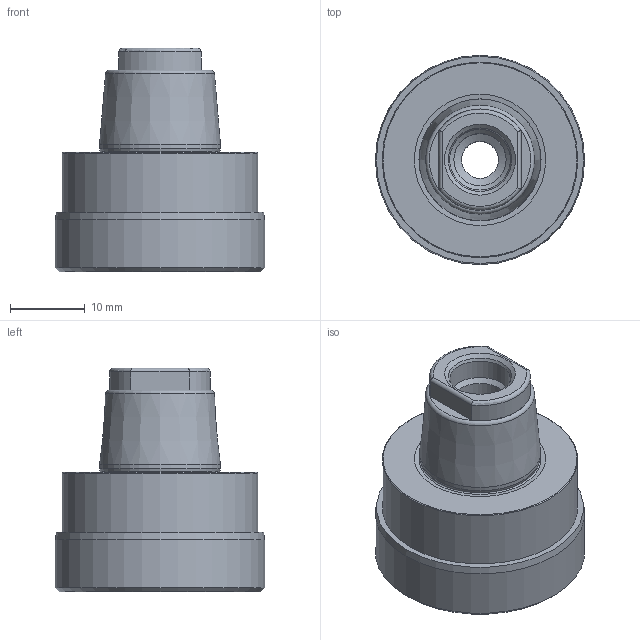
import cadquery as cq
import math

COLLAR_RADIUS = 14.005
COLLAR_TOP_Z = 8.0
COLLAR_BOTTOM_CHAMFER = 0.55
COLLAR_BEVEL_HEIGHT = 1.0
COLLAR_BEVEL_WIDTH = 0.13

BODY_RADIUS = 13.1
BODY_TOP_Z = 16.0
BODY_CHAMFER = 0.1

STEM_BASE_RADIUS = 8.1
STEM_TAPER_START_Z = 17.0
STEM_TOP_RADIUS = 7.25
STEM_TOP_Z = 27.0
STEM_EDGE_RADIUS = 0.5

RELIEF_CORNER_RADIUS = 0.15
RELIEF_DEPTH_IN_BODY = 0.09
RELIEF_DEPTH_IN_STEM = 0.1
RELIEF_BODY_SLOPE = math.radians(8)
RELIEF_STEM_SLOPE = math.radians(15)

NUB_RADIUS = 6.75
NUB_TOP_Z = 29.95
NUB_WIDTH_ACROSS_FLATS = 11.0
NUB_EDGE_RADIUS = 0.5

MOUTH_RADIUS = 4.75
MOUTH_STEP_RADIUS = 4.25
MOUTH_STEP_DEPTH = 0.45
BORE_RADIUS = 4.07
BORE_START_DEPTH = 0.84
BORE_DEPTH = 3.52
GUIDE_RADIUS = 3.5
GUIDE_FLOOR_Z = BODY_TOP_Z
HOLE_RADIUS = 2.47
GUIDE_FLOOR_SLOPE = math.radians(30)


def revolve_profile(profile):
    """Turn a closed (radius, z) outline around the Z axis."""
    return profile.close().revolve(360, (0, 0, 0), (0, 1, 0))


def make_turned_body():
    corner_r = STEM_BASE_RADIUS - RELIEF_DEPTH_IN_STEM + RELIEF_CORNER_RADIUS
    corner_z = BODY_TOP_Z - RELIEF_DEPTH_IN_BODY + RELIEF_CORNER_RADIUS
    arc_middle_angle = math.radians(225)

    def on_corner(angle):
        return (
            corner_r + RELIEF_CORNER_RADIUS * math.cos(angle),
            corner_z + RELIEF_CORNER_RADIUS * math.sin(angle),
        )

    arc_start = on_corner(math.radians(270) + RELIEF_BODY_SLOPE)
    arc_end = on_corner(math.radians(180) - RELIEF_STEM_SLOPE)
    relief_outer_radius = arc_start[0] + (BODY_TOP_Z - arc_start[1]) / math.tan(RELIEF_BODY_SLOPE)
    relief_top_z = arc_end[1] + (STEM_BASE_RADIUS - arc_end[0]) / math.tan(RELIEF_STEM_SLOPE)

    profile = (
        cq.Workplane("XZ")
        .lineTo(COLLAR_RADIUS - COLLAR_BOTTOM_CHAMFER, 0)
        .lineTo(COLLAR_RADIUS, COLLAR_BOTTOM_CHAMFER)
        .lineTo(COLLAR_RADIUS, COLLAR_TOP_Z - COLLAR_BEVEL_HEIGHT)
        .lineTo(COLLAR_RADIUS - COLLAR_BEVEL_WIDTH, COLLAR_TOP_Z)
        .lineTo(BODY_RADIUS, COLLAR_TOP_Z)
        .lineTo(BODY_RADIUS, BODY_TOP_Z - BODY_CHAMFER)
        .lineTo(BODY_RADIUS - BODY_CHAMFER, BODY_TOP_Z)
        .lineTo(relief_outer_radius, BODY_TOP_Z)
        .lineTo(*arc_start)
        .threePointArc(on_corner(arc_middle_angle), arc_end)
        .lineTo(STEM_BASE_RADIUS, relief_top_z)
        .lineTo(STEM_BASE_RADIUS, STEM_TAPER_START_Z)
        .lineTo(STEM_TOP_RADIUS, STEM_TOP_Z)
        .lineTo(0, STEM_TOP_Z)
    )
    return revolve_profile(profile).faces(">Z").edges().fillet(STEM_EDGE_RADIUS)


def make_nub():
    height = NUB_TOP_Z - STEM_TAPER_START_Z
    base = cq.Workplane("XY").workplane(offset=STEM_TAPER_START_Z)
    flats = base.rect(NUB_WIDTH_ACROSS_FLATS, 2 * NUB_RADIUS).extrude(height)
    nub = base.circle(NUB_RADIUS).extrude(height).intersect(flats)
    return nub.faces(">Z").edges().fillet(NUB_EDGE_RADIUS)


def make_bore():
    bore_floor_z = NUB_TOP_Z - BORE_DEPTH
    guide_top_z = bore_floor_z - (BORE_RADIUS - GUIDE_RADIUS)
    hole_top_z = GUIDE_FLOOR_Z - (GUIDE_RADIUS - HOLE_RADIUS) * math.tan(GUIDE_FLOOR_SLOPE)
    profile = (
        cq.Workplane("XZ")
        .lineTo(HOLE_RADIUS, 0)
        .lineTo(HOLE_RADIUS, hole_top_z)
        .lineTo(GUIDE_RADIUS, GUIDE_FLOOR_Z)
        .lineTo(GUIDE_RADIUS, guide_top_z)
        .lineTo(BORE_RADIUS, bore_floor_z)
        .lineTo(BORE_RADIUS, NUB_TOP_Z - BORE_START_DEPTH)
        .lineTo(MOUTH_STEP_RADIUS, NUB_TOP_Z - MOUTH_STEP_DEPTH)
        .lineTo(MOUTH_RADIUS, NUB_TOP_Z)
        .lineTo(0, NUB_TOP_Z)
    )
    return revolve_profile(profile)


result = make_turned_body().union(make_nub()).cut(make_bore())